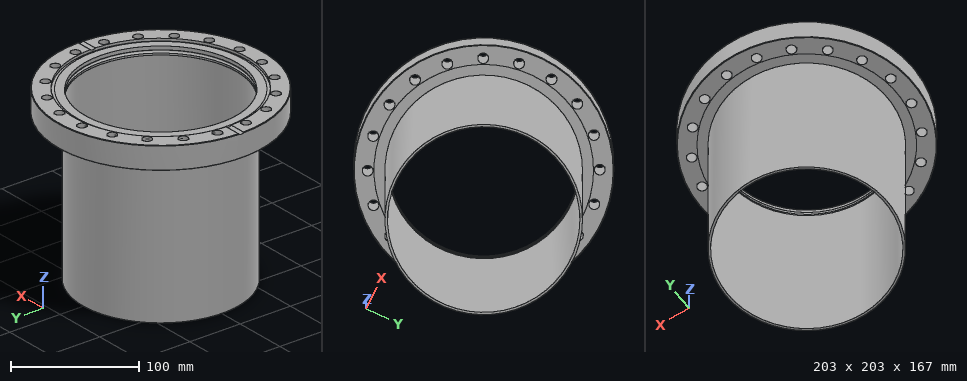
import cadquery as cq
import math

total_height = 167.0

ring_diameter = 203.0
ring_thickness = 22.0
ring_bore = 171.3
ring_edge_chamfer = 0.5
ring_bottom = total_height - ring_thickness

bolt_count = 20
bolt_hole_diameter = 8.3
bolt_circle_diameter = 181.0
bolt_pitch = 360 / bolt_count

leak_groove_width = 4.9
leak_groove_depth = 1.0
leak_groove_radius = ((leak_groove_width / 2) ** 2 + leak_groove_depth ** 2) / (2 * leak_groove_depth)

tube_outer = 154.0
tube_inner = 150.0

insert_diameter = ring_bore
knife_diameter = 165.9
knife_recess = 1.5
knife_slope = 20
knife_level = total_height - knife_recess
rim_level = knife_level - (insert_diameter - knife_diameter) / 2 * math.tan(math.radians(knife_slope))

relief_radius = 1.32
relief_depth = 4.9
tube_seat_depth = 8.0
relief_level = knife_level - relief_depth
tube_top = knife_level - tube_seat_depth


def make_bolt_ring():
    ring = (
        cq.Workplane("XY", origin=(0, 0, ring_bottom))
        .circle(ring_diameter / 2)
        .extrude(ring_thickness)
        .edges()
        .chamfer(ring_edge_chamfer)
    )
    bore = (
        cq.Workplane("XY", origin=(0, 0, ring_bottom))
        .circle(ring_bore / 2)
        .extrude(ring_thickness)
    )
    bolt_holes = (
        cq.Workplane("XY", origin=(0, 0, ring_bottom))
        .polarArray(bolt_circle_diameter / 2, bolt_pitch / 2, 360, bolt_count)
        .circle(bolt_hole_diameter / 2)
        .extrude(ring_thickness)
    )
    groove_axis_level = total_height - leak_groove_depth + leak_groove_radius
    leak_grooves = (
        cq.Workplane("YZ", origin=(0, 0, groove_axis_level))
        .circle(leak_groove_radius)
        .extrude(ring_diameter, both=True)
    )
    return ring.cut(bore).cut(bolt_holes).cut(leak_grooves)


def make_insert():
    bore_radius = tube_inner / 2
    seat_radius = tube_outer / 2
    rim_radius = insert_diameter / 2
    return (
        cq.Workplane("XZ")
        .moveTo(seat_radius, ring_bottom)
        .lineTo(rim_radius, ring_bottom)
        .lineTo(rim_radius, rim_level)
        .lineTo(knife_diameter / 2, knife_level)
        .lineTo(bore_radius, knife_level)
        .lineTo(bore_radius, relief_level + relief_radius)
        .threePointArc(
            (bore_radius + relief_radius, relief_level),
            (bore_radius, relief_level - relief_radius),
        )
        .lineTo(bore_radius, tube_top)
        .lineTo(seat_radius, tube_top)
        .close()
        .revolve(360, (0, 0, 0), (0, 1, 0))
    )


def make_tube():
    return (
        cq.Workplane("XY")
        .circle(tube_outer / 2)
        .circle(tube_inner / 2)
        .extrude(tube_top)
    )


bolt_ring = make_bolt_ring()
insert = make_insert()
tube = make_tube()

result = cq.Compound.makeCompound([bolt_ring.solids().val(), insert.val(), tube.val()])